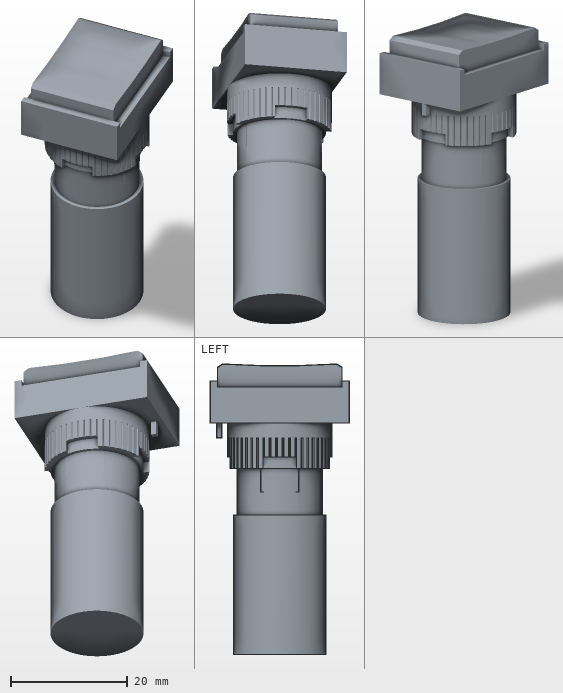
import cadquery as cq
import math

total_height = 50.0

barrel_diameter = 16.0
barrel_height = 24.0
neck_diameter = 14.7

ring_diameter = 18.0
ring_bottom = 32.0
ring_top = 39.8
knurl_count = 50
knurl_width = 0.3
knurl_angle = 60.0
knurl_top = 37.3
notch_width = 5.7
notch_height = 2.0
notch_floor_diameter = 16.0

head_length_x = 18.0
head_length_y = 24.0
head_top = 47.1
shelf_top = 46.0

peg_size = 0.9
peg_height = 2.5
peg_center_y = 10.4

button_length_x = 15.5
button_length_y = 21.5
bevel_length_y = 0.95
bevel_height = 0.6
dish_depth = 0.3

stem_length_x = 13.2
stem_length_y = 6.65
stem_bottom = 28.0


def cylinder(diameter, bottom, top):
    return cq.Workplane("XY").workplane(offset=bottom).circle(diameter / 2).extrude(top - bottom)


def block(length_x, length_y, bottom, top):
    return cq.Workplane("XY").workplane(offset=bottom).rect(length_x, length_y).extrude(top - bottom)


def make_notches():
    """Four openings around the lower rim of the ring, down to a thin inner sleeve."""
    notch_top = ring_bottom + notch_height
    cross = block(ring_diameter, notch_width, ring_bottom, notch_top)
    cross = cross.union(block(notch_width, ring_diameter, ring_bottom, notch_top))
    return cross.cut(cylinder(notch_floor_diameter, ring_bottom, notch_top))


def make_knurl_grooves():
    """Evenly spaced vertical V-grooves, one of them centred on the -Y side."""
    half_angle = math.radians(knurl_angle / 2)
    rim_y = -ring_diameter / 2
    root_y = rim_y + knurl_width / 2 / math.tan(half_angle)
    mouth_y = rim_y - knurl_width
    mouth_half_width = (root_y - mouth_y) * math.tan(half_angle)
    groove = (
        cq.Workplane("XY")
        .workplane(offset=ring_bottom)
        .polyline([(0, root_y), (-mouth_half_width, mouth_y), (mouth_half_width, mouth_y)])
        .close()
        .extrude(knurl_top - ring_bottom)
    )
    pitch_angle = 360 / knurl_count
    grooves = [groove.rotate((0, 0, 0), (0, 0, 1), i * pitch_angle).val() for i in range(knurl_count)]
    return cq.Workplane(cq.Compound.makeCompound(grooves))


def make_ring():
    ring = cylinder(ring_diameter, ring_bottom, ring_top)
    return ring.cut(make_notches()).cut(make_knurl_grooves())


def make_head():
    """Rectangular head whose side walls are lower than its two end walls."""
    head = block(head_length_x, head_length_y, ring_top, head_top)
    return head.cut(block(head_length_x, button_length_y, shelf_top, head_top))


def make_peg():
    return block(peg_size, peg_size, ring_top - peg_height, ring_top).translate((0, peg_center_y, 0))


def make_stem():
    return block(stem_length_x, stem_length_y, stem_bottom, shelf_top)


def make_housing():
    """Barrel, neck, ring, head and peg in one piece, with a pocket that fits the button stem."""
    housing = cylinder(barrel_diameter, 0, barrel_height)
    neck = cylinder(neck_diameter, barrel_height, ring_bottom)
    for piece in (neck, make_ring(), make_head(), make_peg()):
        housing = housing.union(piece)
    return housing.cut(make_stem())


def make_button():
    """Button with bevelled ends, a shallow cylindrical dish on top and a stem below."""
    side_y = button_length_y / 2
    ridge_y = side_y - bevel_length_y
    bevel_bottom = total_height - bevel_height
    cap = (
        cq.Workplane("YZ")
        .moveTo(-side_y, shelf_top)
        .lineTo(side_y, shelf_top)
        .lineTo(side_y, bevel_bottom)
        .lineTo(ridge_y, total_height)
        .threePointArc((0, total_height - dish_depth), (-ridge_y, total_height))
        .lineTo(-side_y, bevel_bottom)
        .close()
        .extrude(button_length_x / 2, both=True)
    )
    return cap.union(make_stem())


housing = make_housing()
button = make_button()

result = cq.Compound.makeCompound([housing.val(), button.val()])